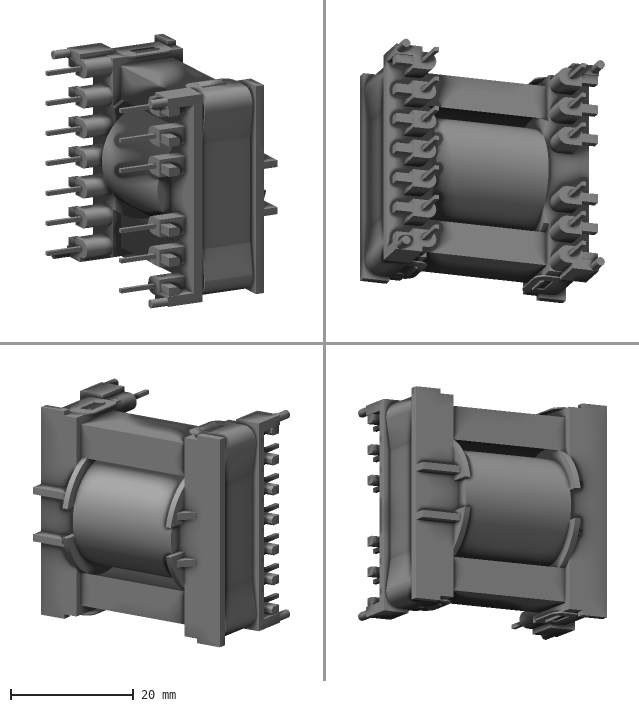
import cadquery as cq
import math


core_half_length = 15.8
core_half_depth = 4.9
core_half_height = 15.35
core_window_radius = 10.9
core_post_radius = 4.75

winding_radius = 9.0
flange_radius = 10.85
flange_inner_x = 9.6
flange_outer_x = 10.6
flange_slot_width = 5.0

frame_outer_x = 17.5
frame_half_height = 17.6
frame_step_x = 13.0
plate_inner_y = 4.95
plate_outer_y = 6.48
roof_outer_x = 15.3
roof_bottom_z = 15.52
roof_top_z = 16.83
foot_y = -11.25
foot_wall_bottom_z = 15.9

ramp_start_x = 11.97
ramp_end_x = 10.65
ramp_half_width = 2.2
ramp_top_z = 17.5

pin_pitch = 5.08
pin_x = 12.7
pin_width = 0.7
pin_tip_y = -17.55
boss_width = 2.95
boss_back_x = 14.57
guide_width = 1.48
guide_front_y = -11.0
guide_back_y = -9.05
guide_round = 0.53
guide_outer_x = 17.4
pin_rows = {-1: (-3, -2, -1, 0, 1, 2, 3), 1: (-3, -2, -1, 1, 2, 3)}

peg_diameter = 1.4
peg_tip_y = -14.2

rib_bottom_z = 3.4
rib_thickness = 1.15
rib_top_y = 8.9
gusset_foot_x = 13.02

clip_thickness = 0.25
clip_half_width = 4.4
clip_top_z = 17.15
clip_outer_x = 17.35
clip_corner_radius = 2.6
clip_tip_x = 9.3
clip_tip_round = 1.75
clip_slope_start_z = 14.22
clip_slope_end_z = 8.98
clip_pad_x = 16.55
clip_slot_outer_x = 12.75
clip_slot_inner_x = 10.52
clip_slot_half_width = 2.25


def block(x_range, y_range, z_range):
    """Box between two X, two Y and two Z positions, each pair in either order."""
    ranges = (x_range, y_range, z_range)
    sizes = [abs(b - a) for a, b in ranges]
    centre = tuple((a + b) / 2 for a, b in ranges)
    return cq.Workplane("XY").box(*sizes).translate(centre)


def x_cylinder(radius, x_start, x_end):
    """Solid cylinder around the X axis."""
    return cq.Workplane("YZ").workplane(offset=x_start).circle(radius).extrude(x_end - x_start)


def make_core_half(side):
    """E-shaped half: back wall, two outer legs hollowed to a round window, and the centre post."""
    body = block(
        (0, side * core_half_length),
        (-core_half_depth, core_half_depth),
        (-core_half_height, core_half_height),
    )
    body = body.cut(x_cylinder(core_window_radius, 0, side * flange_outer_x))
    return body.union(x_cylinder(core_post_radius, 0, side * flange_outer_x))


def make_flange(side):
    """Round winding flange, flat along the pin side and slotted on the opposite side."""
    disc = x_cylinder(flange_radius, side * flange_inner_x, side * flange_outer_x)
    x_range = (side * flange_inner_x, side * flange_outer_x)
    full = (-flange_radius, flange_radius)
    flat = block(x_range, (-flange_radius, -plate_outer_y), full)
    slot = block(x_range, (plate_outer_y, flange_radius), (-flange_slot_width / 2, flange_slot_width / 2))
    return disc.cut(flat).cut(slot)


def make_frame(side):
    """Plates on both sides of the core end, joined by roofs above and below it, with foot walls."""
    stepped = (side * frame_step_x, side * frame_outer_x)
    full_width = (side * flange_outer_x, side * frame_outer_x)
    full_height = (-frame_half_height, frame_half_height)
    roof_height = (-roof_top_z, roof_top_z)

    frame = cq.Workplane("XY")
    for plate_side in (-1, 1):
        plate_y = (plate_side * plate_inner_y, plate_side * plate_outer_y)
        frame = frame.union(block(full_width, plate_y, roof_height))
        frame = frame.union(block(stepped, plate_y, full_height))
    for end in (-1, 1):
        roof = block(
            (side * flange_outer_x, side * roof_outer_x),
            (-plate_outer_y, plate_outer_y),
            (end * roof_bottom_z, end * roof_top_z),
        )
        foot_wall = block(
            stepped,
            (foot_y, -plate_outer_y),
            (end * foot_wall_bottom_z, end * frame_half_height),
        )
        frame = frame.union(roof).union(foot_wall)
        frame = frame.union(make_ramp(side, end)).union(make_peg(side, end))
    return frame


def make_ramp(side, end):
    """Wedge on a roof that snaps into the slot of a clip arm."""
    profile = [
        (side * ramp_start_x, end * roof_top_z),
        (side * ramp_end_x, end * roof_top_z),
        (side * ramp_end_x, end * ramp_top_z),
    ]
    return cq.Workplane("XZ").polyline(profile).close().extrude(ramp_half_width, both=True)


def make_peg(side, end):
    """Round standoff peg in a corner of the foot wall."""
    inset = peg_diameter / 2
    centre = (side * (frame_outer_x - inset), end * (frame_half_height - inset))
    return (
        cq.Workplane("XZ", origin=(0, foot_y, 0))
        .center(*centre)
        .circle(peg_diameter / 2)
        .extrude(foot_y - peg_tip_y)
    )


def make_terminal(side, z):
    """Round-nosed boss with a square pin and a wire guide that stops just inside the frame's outer edge."""
    boss_radius = boss_width / 2
    nose_centre_x = flange_outer_x + boss_radius
    boss = (
        cq.Workplane("XZ", origin=(0, -plate_outer_y, z))
        .moveTo(side * boss_back_x, -boss_radius)
        .lineTo(side * nose_centre_x, -boss_radius)
        .threePointArc((side * flange_outer_x, 0), (side * nose_centre_x, boss_radius))
        .lineTo(side * boss_back_x, boss_radius)
        .close()
        .extrude(-plate_outer_y - foot_y)
    )
    half_pin = pin_width / 2
    pin = block(
        (side * (pin_x - half_pin), side * (pin_x + half_pin)),
        (foot_y, pin_tip_y),
        (z - half_pin, z + half_pin),
    )
    guide = block(
        (side * boss_back_x, side * guide_outer_x),
        (guide_front_y, guide_back_y),
        (z - guide_width / 2, z + guide_width / 2),
    )
    guide = guide.edges("|X and >Y").fillet(guide_round)
    return boss.union(pin).union(guide)


def make_rib(side, end):
    """Rib behind a flange: a triangular gusset on the -X side, a full-length bar on the +X side."""
    if side < 0:
        profile = [
            (-flange_outer_x, plate_outer_y),
            (-gusset_foot_x, plate_outer_y),
            (-flange_outer_x, rib_top_y),
        ]
    else:
        profile = [
            (flange_outer_x, plate_outer_y),
            (frame_outer_x, plate_outer_y),
            (frame_outer_x, rib_top_y),
            (flange_outer_x, rib_top_y),
        ]
    start_z = rib_bottom_z if end > 0 else -rib_bottom_z - rib_thickness
    return cq.Workplane("XY", origin=(0, 0, start_z)).polyline(profile).close().extrude(rib_thickness)


def make_coil_former():
    """Winding, flanges, end frames, pins and ribs in one piece, bored for the core posts."""
    body = x_cylinder(winding_radius, -flange_inner_x, flange_inner_x)
    for side, rows in pin_rows.items():
        body = body.union(make_flange(side)).union(make_frame(side))
        for row in rows:
            body = body.union(make_terminal(side, row * pin_pitch))
        for end in (-1, 1):
            body = body.union(make_rib(side, end))
    return body.cut(x_cylinder(core_post_radius, -flange_outer_x, flange_outer_x))


def clip_upper_path(offset):
    """Key points of the clip's upper half, moved inward from its outer surface by offset."""
    centre_x = clip_outer_x - clip_corner_radius
    centre_z = clip_top_z - clip_corner_radius
    radius = clip_corner_radius - offset
    diagonal = radius * math.sqrt(0.5)
    return {
        "tip": (clip_tip_x, clip_top_z - offset),
        "arc_top": (centre_x, clip_top_z - offset),
        "arc_middle": (centre_x + diagonal, centre_z + diagonal),
        "arc_end": (clip_outer_x - offset, centre_z),
        "slope_start": (clip_outer_x - offset, clip_slope_start_z),
        "slope_end": (clip_pad_x - offset, clip_slope_end_z),
    }


def make_clip(side):
    """Sheet spring clip: two slotted arms, round corners and a middle bowed in toward the core."""
    outer = clip_upper_path(0)
    inner = clip_upper_path(clip_thickness)

    def upper(point):
        return (side * point[0], point[1])

    def lower(point):
        return (side * point[0], -point[1])

    clip = (
        cq.Workplane("XZ")
        .moveTo(*upper(outer["tip"]))
        .lineTo(*upper(outer["arc_top"]))
        .threePointArc(upper(outer["arc_middle"]), upper(outer["arc_end"]))
        .lineTo(*upper(outer["slope_start"]))
        .lineTo(*upper(outer["slope_end"]))
        .lineTo(*lower(outer["slope_end"]))
        .lineTo(*lower(outer["slope_start"]))
        .lineTo(*lower(outer["arc_end"]))
        .threePointArc(lower(outer["arc_middle"]), lower(outer["arc_top"]))
        .lineTo(*lower(outer["tip"]))
        .lineTo(*lower(inner["tip"]))
        .lineTo(*lower(inner["arc_top"]))
        .threePointArc(lower(inner["arc_middle"]), lower(inner["arc_end"]))
        .lineTo(*lower(inner["slope_start"]))
        .lineTo(*lower(inner["slope_end"]))
        .lineTo(*upper(inner["slope_end"]))
        .lineTo(*upper(inner["slope_start"]))
        .lineTo(*upper(inner["arc_end"]))
        .threePointArc(upper(inner["arc_middle"]), upper(inner["arc_top"]))
        .lineTo(*upper(inner["tip"]))
        .close()
        .extrude(clip_half_width, both=True)
    )
    tip_edges = "|Z and >X" if side < 0 else "|Z and <X"
    clip = clip.edges(tip_edges).fillet(clip_tip_round)
    slot = block(
        (side * clip_slot_inner_x, side * clip_slot_outer_x),
        (-clip_slot_half_width, clip_slot_half_width),
        (-frame_half_height, frame_half_height),
    )
    return clip.cut(slot)


coil_former = make_coil_former()
core_halves = [make_core_half(side) for side in (-1, 1)]
clips = [make_clip(side) for side in (-1, 1)]

result = cq.Compound.makeCompound(
    [
        *coil_former.solids().vals(),
        *[solid for half in core_halves for solid in half.solids().vals()],
        *[solid for clip in clips for solid in clip.solids().vals()],
    ]
)